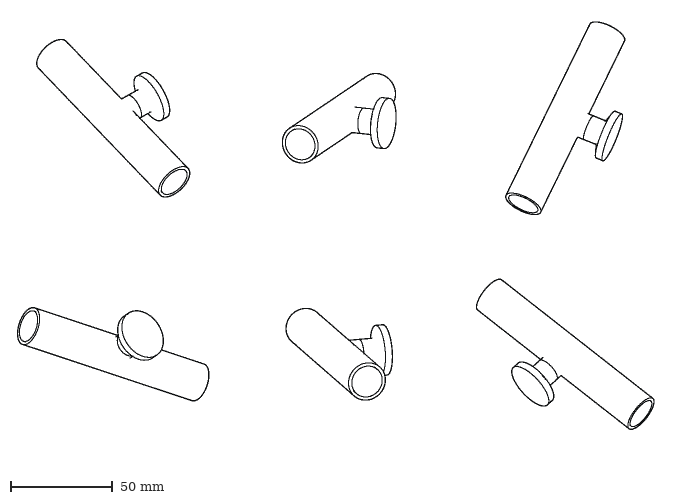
import cadquery as cq
import math

tube_length = 101.6
tube_outer_diameter = 19.1
tube_inner_diameter = 15.7

neck_diameter = 12.7
joint_y = 12.6
saddle_fillet = 0.6

flange_diameter = 25.0
flange_rim_thickness = 3.7
flange_slope_angle = 20.0
flange_root_fillet = 0.5
overall_depth = 35.0

tube_radius = tube_outer_diameter / 2
flange_face_y = overall_depth - tube_radius
neck_radius = neck_diameter / 2
flange_radius = flange_diameter / 2


def tube_cylinder(diameter):
    """Solid cylinder over the full length of the tube."""
    return cq.Workplane("YZ").circle(diameter / 2).extrude(tube_length / 2, both=True)


def make_tee():
    """Tube with a short filleted neck on its +Y side."""
    neck = cq.Workplane("XZ").circle(neck_radius).extrude(-joint_y)
    tee = tube_cylinder(tube_outer_diameter).union(neck)

    saddle_zone = cq.selectors.BoxSelector(
        (-neck_radius, 0, -neck_radius),
        (neck_radius, tube_radius, neck_radius),
    )
    tee = tee.edges(saddle_zone).fillet(saddle_fillet)
    return tee.cut(tube_cylinder(tube_inner_diameter))


def make_ferrule():
    """Stub with a flange whose back face slopes down to the stub."""
    rim_back_y = flange_face_y - flange_rim_thickness
    slope_depth = (flange_radius - neck_radius) * math.tan(math.radians(flange_slope_angle))
    root_y = rim_back_y - slope_depth
    ferrule = (
        cq.Workplane("XY")
        .moveTo(0, joint_y)
        .lineTo(neck_radius, joint_y)
        .lineTo(neck_radius, root_y)
        .lineTo(flange_radius, rim_back_y)
        .lineTo(flange_radius, flange_face_y)
        .lineTo(0, flange_face_y)
        .close()
        .revolve(360, (0, 0, 0), (0, 1, 0))
    )
    root_edge = cq.selectors.NearestToPointSelector((0, root_y, 0))
    return ferrule.edges("%CIRCLE").edges(root_edge).fillet(flange_root_fillet)


tee = make_tee()
ferrule = make_ferrule()

result = cq.Compound.makeCompound([tee.val(), ferrule.val()])